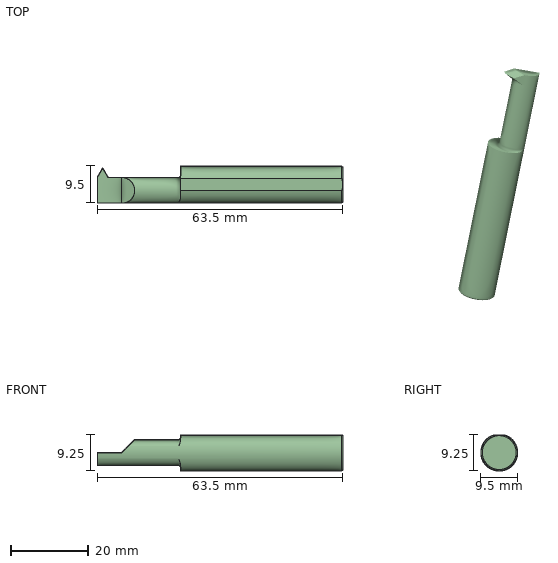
import cadquery as cq
import math

total_length = 63.5
shank_radius = 4.75
shank_start = 21.5
shank_flat_height = 4.5
end_chamfer = 0.4

neck_radius = 3.35
neck_y = -1.5
neck_bottom = -neck_radius
root_fillet = 0.65

face_length = 6.3
face_slope_angle = 45.0

tip_x = 1.4
tip_y = 4.3
flank_angle = 30.0
tooth_height = tip_y - (neck_y + neck_radius)
relief_knee_z = -1.15
upper_relief_angle = 20.0
lower_relief_angle = 45.0


def make_shank():
    length = total_length - shank_start
    bar = cq.Workplane("YZ", origin=(shank_start, 0, 0)).circle(shank_radius).extrude(length)
    bar = bar.faces(">X").chamfer(end_chamfer)
    above_flat = cq.Workplane("XY", origin=(0, 0, shank_flat_height)).rect(
        3 * total_length, 4 * shank_radius).extrude(shank_radius)
    return bar.cut(above_flat)


def make_neck():
    """Neck with a filleted root, trimmed to the round of the shank."""
    fillet_start = shank_start - root_fillet
    arc_offset = root_fillet * math.sqrt(0.5)
    arc_middle = (fillet_start + arc_offset, neck_radius + root_fillet - arc_offset)
    neck = (
        cq.Workplane("XY", origin=(0, neck_y, 0))
        .lineTo(0, neck_radius)
        .lineTo(fillet_start, neck_radius)
        .threePointArc(arc_middle, (shank_start, neck_radius + root_fillet))
        .lineTo(shank_start, 0)
        .close()
        .revolve(360, (0, 0, 0), (1, 0, 0))
    )
    envelope = cq.Workplane("YZ").circle(shank_radius).extrude(shank_start)
    return neck.intersect(envelope)


def cut_face(neck):
    """Remove the upper half at the front, back to the sloped run-out."""
    slope_top = 2 * shank_radius
    slope_run = slope_top / math.tan(math.radians(face_slope_angle))
    opening = (
        cq.Workplane("XZ")
        .polyline([(0, 0), (face_length, 0), (face_length + slope_run, slope_top), (0, slope_top)])
        .close()
        .extrude(2 * shank_radius, both=True)
    )
    return neck.cut(opening)


def tooth_section(z, section_tip_y):
    """Level outline of the tooth, reaching in to the middle of the neck."""
    flank_slope = math.tan(math.radians(flank_angle))
    front_y = section_tip_y - tip_x / flank_slope
    back_x = tip_x + tooth_height * flank_slope
    points = [
        (0, neck_y),
        (0, front_y),
        (tip_x, section_tip_y),
        (back_x, section_tip_y - tooth_height),
        (back_x, neck_y),
    ]
    return cq.Wire.makePolygon([cq.Vector(x, y, z) for x, y in points], close=True)


def make_tooth():
    knee_y = tip_y + relief_knee_z * math.tan(math.radians(upper_relief_angle))
    lower_drop = relief_knee_z - neck_bottom
    heel_y = knee_y - lower_drop * math.tan(math.radians(lower_relief_angle))
    top = tooth_section(0, tip_y)
    knee = tooth_section(relief_knee_z, knee_y)
    heel = tooth_section(neck_bottom, heel_y)
    upper = cq.Solid.makeLoft([top, knee], True)
    lower = cq.Solid.makeLoft([knee, heel], True)
    return cq.Workplane(upper).union(cq.Workplane(lower))


def clear_front_flank(neck):
    """Clear the neck ahead of the tip, where the tooth forms the whole +Y side."""
    clearance = cq.Workplane("XY").box(
        tip_x, 2 * shank_radius, 4 * shank_radius, centered=(False, False, True))
    return neck.cut(clearance.translate((0, neck_y, 0)))


neck = clear_front_flank(cut_face(make_neck()))
result = make_shank().union(neck).union(make_tooth())